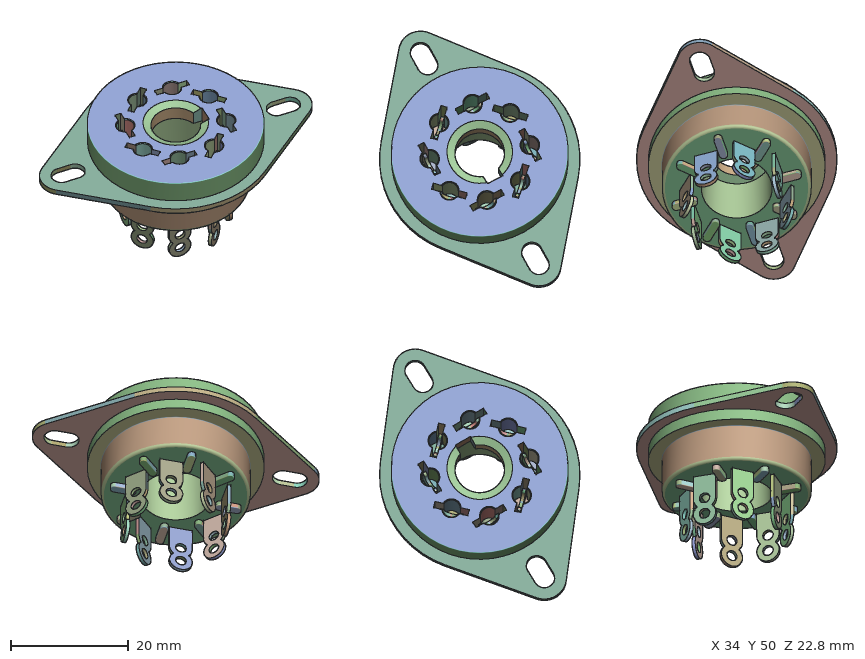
import cadquery as cq
import math


plate_thickness = 1.0
plate_length = 50.0
plate_side_radius = 17.0
plate_tip_radius = 3.75
mount_slot_offset = 20.0
mount_slot_length = 6.0
mount_slot_width = 3.5

housing_top = 5.0
collar_diameter = 30.0
collar_bottom = -2.0
base_diameter = 25.3
base_bottom = -8.5
base_fillet = 0.5
edge_fillet = 0.1

key_bore_diameter = 8.4
key_bore_depth = 3.0
lead_in_diameter = 11.1
lead_in_depth = 0.55
keyway_width = 2.95
keyway_reach = lead_in_diameter / 2
lower_bore_diameter = 12.0

rib_height = 1.0
rib_width = 1.4
rib_start = 7.0
rib_reach = 11.43

contact_count = 8
contact_pitch_radius = 8.58
first_contact_angle = 70.0
contact_step = 360.0 / contact_count

pin_hole_diameter = 3.0
pin_hole_chamfer = 0.15
pocket_length = 6.0
pocket_width = 1.1
pocket_offset = 0.05
pocket_floor = collar_bottom

contact_width = 4.0
contact_thickness = 0.6
contact_recess = 3.0
contact_top = housing_top - contact_recess
contact_bottom = -17.8
eyelet_radius = contact_width / 2
eyelet_spacing = 2.95
eyelet_hole_diameter = 1.85
notch_half_width = 1.25
notch_lip_radius = 0.5
notch_corner_radius = 1.1


def place_on_pitch_circle(shape, index):
    """Move a shape made at the origin, long side along X, to one contact position."""
    turn = index * contact_step
    angle = math.radians(first_contact_angle)
    first_position = cq.Vector(
        contact_pitch_radius * math.cos(angle),
        contact_pitch_radius * math.sin(angle),
        0,
    )
    return shape.translate(first_position).rotate((0, 0, 0), (0, 0, 1), turn)


def make_plate():
    tip_center = plate_length / 2 - plate_tip_radius
    normal_y = (plate_side_radius - plate_tip_radius) / tip_center
    normal_x = math.sqrt(1 - normal_y**2)
    side_x = plate_side_radius * normal_x
    side_y = plate_side_radius * normal_y
    tip_x = plate_tip_radius * normal_x
    tip_y = tip_center + plate_tip_radius * normal_y

    outline = (
        cq.Workplane("XY")
        .moveTo(side_x, -side_y)
        .threePointArc((plate_side_radius, 0), (side_x, side_y))
        .lineTo(tip_x, tip_y)
        .threePointArc((0, plate_length / 2), (-tip_x, tip_y))
        .lineTo(-side_x, side_y)
        .threePointArc((-plate_side_radius, 0), (-side_x, -side_y))
        .lineTo(-tip_x, -tip_y)
        .threePointArc((0, -plate_length / 2), (tip_x, -tip_y))
        .close()
    )
    housing_hole = cq.Workplane("XY").circle(collar_diameter / 2).extrude(plate_thickness)
    mount_slots = (
        cq.Workplane("XY")
        .pushPoints([(0, mount_slot_offset), (0, -mount_slot_offset)])
        .slot2D(mount_slot_length, mount_slot_width, 90)
        .extrude(plate_thickness)
    )
    return outline.extrude(plate_thickness).cut(housing_hole).cut(mount_slots)


def make_key_hole():
    """Space of the centre hole: lead-in cone, keyed bore and the wider bore below."""
    key_bore_bottom = housing_top - key_bore_depth
    lead_in = (
        cq.Workplane("XY", origin=(0, 0, housing_top))
        .circle(lead_in_diameter / 2)
        .workplane(offset=-lead_in_depth)
        .circle(key_bore_diameter / 2)
        .loft(ruled=True)
    )
    key_bore = (
        cq.Workplane("XY", origin=(0, 0, key_bore_bottom))
        .circle(key_bore_diameter / 2)
        .extrude(key_bore_depth)
    )
    lower_bore = (
        cq.Workplane("XY", origin=(0, 0, base_bottom))
        .circle(lower_bore_diameter / 2)
        .extrude(key_bore_bottom - base_bottom)
    )
    keyway = (
        cq.Workplane("XY", origin=(0, 0, key_bore_bottom))
        .center(0, keyway_reach / 2)
        .rect(keyway_width, keyway_reach)
        .extrude(key_bore_depth)
    )
    return key_bore.union(lead_in).union(keyway).union(lower_bore)


def make_pin_pocket():
    """Space of one pin position: chamfered round hole crossed by a rectangular pocket."""
    depth = housing_top - pocket_floor
    hole = cq.Workplane("XY", origin=(0, 0, pocket_floor)).circle(pin_hole_diameter / 2).extrude(depth)
    chamfer = (
        cq.Workplane("XY", origin=(0, 0, housing_top))
        .circle(pin_hole_diameter / 2 + pin_hole_chamfer)
        .extrude(-pin_hole_chamfer, taper=45)
    )
    pocket = (
        cq.Workplane("XY", origin=(0, pocket_offset, pocket_floor))
        .rect(pocket_length, pocket_width)
        .extrude(depth)
    )
    return hole.union(chamfer).union(pocket)


def make_contact_passage():
    """Space below the pocket floor that the contact blade fills."""
    return (
        cq.Workplane("XY", origin=(0, 0, pocket_floor))
        .rect(contact_width, contact_thickness)
        .extrude(base_bottom - pocket_floor)
    )


def make_ribs():
    """Radial ribs with round ends, their lower rims slightly rounded."""
    rib_length = rib_reach - rib_start
    rib = (
        cq.Workplane("XY", origin=(0, 0, base_bottom))
        .center((rib_start + rib_reach) / 2, 0)
        .slot2D(rib_length, rib_width)
        .extrude(-rib_height)
        .faces("<Z")
        .edges()
        .fillet(edge_fillet)
    )
    return [rib.rotate((0, 0, 0), (0, 0, 1), index * contact_step) for index in range(contact_count)]


def make_housing():
    collar = (
        cq.Workplane("XY", origin=(0, 0, collar_bottom))
        .circle(collar_diameter / 2)
        .extrude(housing_top - collar_bottom)
        .faces(">Z")
        .edges()
        .fillet(edge_fillet)
    )
    base = (
        cq.Workplane("XY", origin=(0, 0, base_bottom))
        .circle(base_diameter / 2)
        .extrude(collar_bottom - base_bottom)
        .faces("<Z")
        .edges()
        .fillet(base_fillet)
    )
    body = collar.union(base)
    collar_underside = body.faces("|Z").faces("<Z[1]")
    inner_corner = collar_underside.edges(cq.selectors.RadiusNthSelector(0))
    body = inner_corner.fillet(edge_fillet)
    for rib in make_ribs():
        body = body.union(rib)
    body = body.cut(make_key_hole())
    pin_space = make_pin_pocket().union(make_contact_passage())
    for index in range(contact_count):
        body = body.cut(place_on_pitch_circle(pin_space, index))
    return body


def make_contact():
    """Flat blade with a notched top and two eyelets, one above the other, at its lower end."""
    lower_eyelet_z = contact_bottom + eyelet_radius
    upper_eyelet_z = lower_eyelet_z + eyelet_spacing
    eyelet_points = [(0, lower_eyelet_z), (0, upper_eyelet_z)]
    front = cq.Workplane("XZ", origin=(0, contact_thickness / 2, 0))

    strip_height = contact_top - upper_eyelet_z
    strip = (
        front.center(0, upper_eyelet_z + strip_height / 2)
        .rect(contact_width, strip_height)
        .extrude(contact_thickness)
    )
    eyelets = front.pushPoints(eyelet_points).circle(eyelet_radius).extrude(contact_thickness)
    holes = front.pushPoints(eyelet_points).circle(eyelet_hole_diameter / 2).extrude(contact_thickness)

    arc_fraction = math.sqrt(0.5)
    lip_z = contact_top - notch_lip_radius
    lip_x = notch_half_width + notch_lip_radius
    lip_middle = (lip_x - notch_lip_radius * arc_fraction, lip_z + notch_lip_radius * arc_fraction)
    floor_x = notch_half_width - notch_corner_radius
    floor_z = lip_z - notch_corner_radius
    corner_middle = (
        floor_x + notch_corner_radius * arc_fraction,
        lip_z - notch_corner_radius * arc_fraction,
    )
    notch_half = (
        front.moveTo(0, contact_top)
        .lineTo(lip_x, contact_top)
        .threePointArc(lip_middle, (notch_half_width, lip_z))
        .threePointArc(corner_middle, (floor_x, floor_z))
        .lineTo(0, floor_z)
        .close()
        .extrude(contact_thickness)
    )
    notch = notch_half.union(notch_half.mirror("YZ"))
    return strip.union(eyelets).cut(holes).cut(notch)


plate = make_plate()
housing = make_housing()
contact = make_contact()
contacts = [place_on_pitch_circle(contact, index) for index in range(contact_count)]

result = cq.Compound.makeCompound(
    [housing.val(), plate.val(), *[placed.val() for placed in contacts]]
)